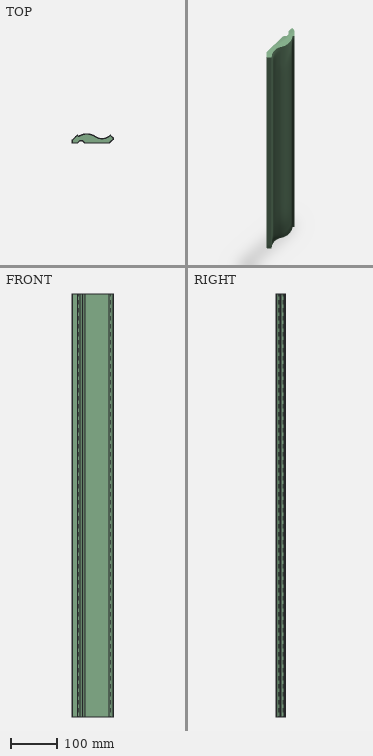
import cadquery as cq

length = 914.0
width = 89.0
crown_height = 20.0

left_face_height = 6.0
bead_x = 11.0
bead_height = left_face_height + bead_x
quirk_x = 14.0
quirk_height = 15.0

crown_x = 32.0
crown_end_x = 49.0
crown_end_height = 15.0
cove_x = 67.0
cove_height = 10.0

ridge_x = 82.0
ridge_height = 17.0
nose_top = 11.0
nose_bottom = 8.0
base_end_x = 80.0

groove_start_x = 11.0
groove_depth = 5.0
groove_roof_width = 5.5
groove_wall_run = 5.5
groove_roof_start_x = groove_start_x + groove_wall_run
groove_roof_end_x = groove_roof_start_x + groove_roof_width
groove_end_x = groove_roof_end_x + groove_wall_run


def moulding_profile():
    """Closed cross-section, starting at the lower left corner."""
    profile = cq.Workplane("XY").moveTo(0, 0)
    profile = (
        profile.lineTo(0, left_face_height)
        .lineTo(bead_x, bead_height)
        .lineTo(quirk_x, quirk_height)
        .threePointArc((crown_x, crown_height), (crown_end_x, crown_end_height))
        .threePointArc((cove_x, cove_height), (ridge_x, ridge_height))
    )
    profile = (
        profile.lineTo(width, nose_top)
        .lineTo(width, nose_bottom)
        .lineTo(base_end_x, 0)
    )
    profile = (
        profile.lineTo(groove_end_x, 0)
        .lineTo(groove_roof_end_x, groove_depth)
        .lineTo(groove_roof_start_x, groove_depth)
        .lineTo(groove_start_x, 0)
    )
    return profile.close()


result = moulding_profile().extrude(length)